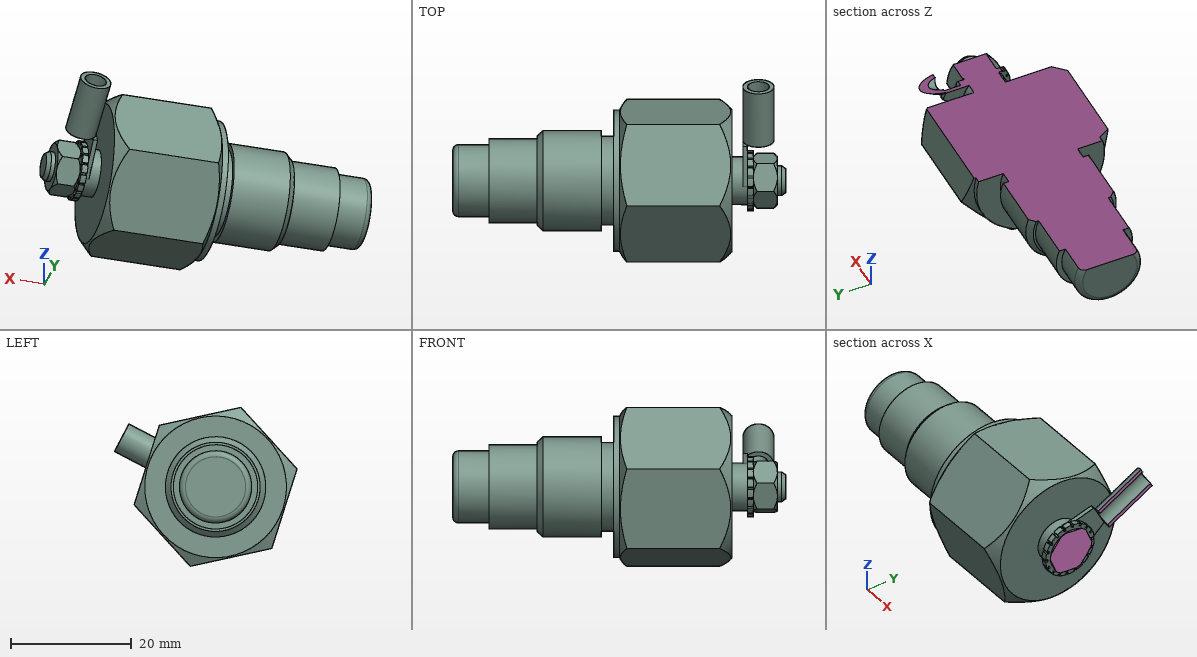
import cadquery as cq
import math


TIP_END = 6.0
PILOT_END = 14.0
THREAD_END = 24.7
RELIEF_END = 26.7
FLANGE_END = 27.7
BODY_END = 46.4
LUG_START = 48.15
LUG_THICKNESS = 0.75
WASHER_START = LUG_START + LUG_THICKNESS
WASHER_THICKNESS = 1.0
NUT_START = WASHER_START + WASHER_THICKNESS
NUT_THICKNESS = 4.0
STUD_END = 55.3

TIP_DIAMETER = 12.0
TIP_FILLET = 1.0
PILOT_DIAMETER = 14.0
THREAD_DIAMETER = 16.66
RELIEF_DIAMETER = 14.81
THREAD_LEAD_LENGTH = 1.0
FLANGE_DIAMETER = 23.51

BODY_ACROSS_FLATS = 24.0
BODY_CORNER_ANGLE = 47.64
BODY_FRONT_BEVEL = 30.0
BODY_REAR_BEVEL = 45.0

NECK_DIAMETER = 8.0
STUD_DIAMETER = 5.0
STUD_CHAMFER_LENGTH = 0.7
STUD_CHAMFER_DEPTH = 0.5
NUT_ACROSS_FLATS = 8.0
NUT_CORNER_ANGLE = 52.5
NUT_BEVEL = 45.0

WASHER_DIAMETER = 10.0
WASHER_ROOT_DIAMETER = 9.0
TOOTH_COUNT = 18
TOOTH_GAP = 0.35
FIRST_GAP_ANGLE = 2.8

LUG_ANGLE = 27.64
LUG_RING_DIAMETER = 8.0
TONGUE_END_RADIUS = 7.6
TONGUE_END_HALF_WIDTH = 2.26
TUBE_DIAMETER = 5.2
TUBE_BORE = 3.6
TUBE_LENGTH = 10.0


def cylinder(diameter, start, end):
    """Cylinder on the X axis between two stations."""
    return cq.Workplane("YZ", origin=(start, 0, 0)).circle(diameter / 2).extrude(end - start)


def beveled_hexagon(across_flats, start, end, corner_angle, face_diameter, start_bevel, end_bevel):
    """Hexagonal prism whose corners are turned off by a cone at each end."""
    length = end - start
    corner_radius = across_flats / math.sqrt(3)
    face_radius = face_diameter / 2
    bevel_depth = corner_radius - face_radius
    start_length = bevel_depth * math.tan(math.radians(start_bevel))
    end_length = bevel_depth * math.tan(math.radians(end_bevel))

    prism = (
        cq.Workplane("YZ", origin=(start, 0, 0))
        .polygon(6, 2 * corner_radius)
        .extrude(length)
        .rotate((0, 0, 0), (1, 0, 0), corner_angle)
    )
    envelope = (
        cq.Workplane("XY")
        .moveTo(start, 0)
        .lineTo(start, face_radius)
        .lineTo(start + start_length, corner_radius)
        .lineTo(end - end_length, corner_radius)
        .lineTo(end, face_radius)
        .lineTo(end, 0)
        .close()
        .revolve(360, (0, 0, 0), (1, 0, 0))
    )
    return prism.intersect(envelope)


def make_shank():
    tip = cylinder(TIP_DIAMETER, 0, TIP_END).faces("<X").edges().fillet(TIP_FILLET)
    pilot = cylinder(PILOT_DIAMETER, TIP_END, PILOT_END)
    thread_lead_depth = (THREAD_DIAMETER - RELIEF_DIAMETER) / 2
    thread = (
        cylinder(THREAD_DIAMETER, PILOT_END, THREAD_END)
        .faces("<X")
        .chamfer(THREAD_LEAD_LENGTH, thread_lead_depth)
    )
    relief = cylinder(RELIEF_DIAMETER, THREAD_END, RELIEF_END)
    flange = cylinder(FLANGE_DIAMETER, RELIEF_END, FLANGE_END)
    return tip.union(pilot).union(thread).union(relief).union(flange)


def make_body():
    return beveled_hexagon(
        BODY_ACROSS_FLATS,
        FLANGE_END,
        BODY_END,
        BODY_CORNER_ANGLE,
        FLANGE_DIAMETER,
        BODY_FRONT_BEVEL,
        BODY_REAR_BEVEL,
    )


def make_stud():
    neck = cylinder(NECK_DIAMETER, BODY_END, LUG_START)
    stud = (
        cylinder(STUD_DIAMETER, LUG_START, STUD_END)
        .faces(">X")
        .chamfer(STUD_CHAMFER_LENGTH, STUD_CHAMFER_DEPTH)
    )
    return neck.union(stud)


def make_nut():
    return beveled_hexagon(
        NUT_ACROSS_FLATS,
        NUT_START,
        NUT_START + NUT_THICKNESS,
        NUT_CORNER_ANGLE,
        NUT_ACROSS_FLATS,
        NUT_BEVEL,
        NUT_BEVEL,
    )


def make_toothed_washer():
    washer = cylinder(WASHER_DIAMETER, WASHER_START, NUT_START)
    rim = washer.cut(cylinder(WASHER_ROOT_DIAMETER, WASHER_START, NUT_START))
    gap_bar = (
        cq.Workplane("YZ", origin=(WASHER_START, 0, 0))
        .rect(WASHER_DIAMETER, TOOTH_GAP)
        .extrude(WASHER_THICKNESS)
    )
    pitch = 360 / TOOTH_COUNT
    for index in range(TOOTH_COUNT // 2):
        angle = FIRST_GAP_ANGLE + index * pitch
        washer = washer.cut(gap_bar.rotate((0, 0, 0), (1, 0, 0), angle).intersect(rim))
    return washer


def make_lug():
    """Lug built along +Y, then turned about the stud to its final angle."""
    ring_radius = LUG_RING_DIAMETER / 2
    corner_distance = math.hypot(TONGUE_END_RADIUS, TONGUE_END_HALF_WIDTH)
    tangent_angle = math.atan2(TONGUE_END_HALF_WIDTH, TONGUE_END_RADIUS)
    tangent_angle += math.acos(ring_radius / corner_distance)
    tangent_y = ring_radius * math.cos(tangent_angle)
    tangent_z = ring_radius * math.sin(tangent_angle)

    plate = (
        cq.Workplane("YZ", origin=(LUG_START, 0, 0))
        .moveTo(TONGUE_END_RADIUS, -TONGUE_END_HALF_WIDTH)
        .lineTo(TONGUE_END_RADIUS, TONGUE_END_HALF_WIDTH)
        .lineTo(tangent_y, tangent_z)
        .threePointArc((-ring_radius, 0), (tangent_y, -tangent_z))
        .close()
        .extrude(LUG_THICKNESS)
    )
    tube_center_x = LUG_START + TUBE_DIAMETER / 2
    tube = (
        cq.Workplane("XZ", origin=(tube_center_x, TONGUE_END_RADIUS, 0))
        .circle(TUBE_DIAMETER / 2)
        .circle(TUBE_BORE / 2)
        .extrude(-TUBE_LENGTH)
    )
    return plate.union(tube).rotate((0, 0, 0), (1, 0, 0), LUG_ANGLE)


result = (
    make_shank()
    .union(make_body())
    .union(make_stud())
    .union(make_lug())
    .union(make_toothed_washer())
    .union(make_nut())
)